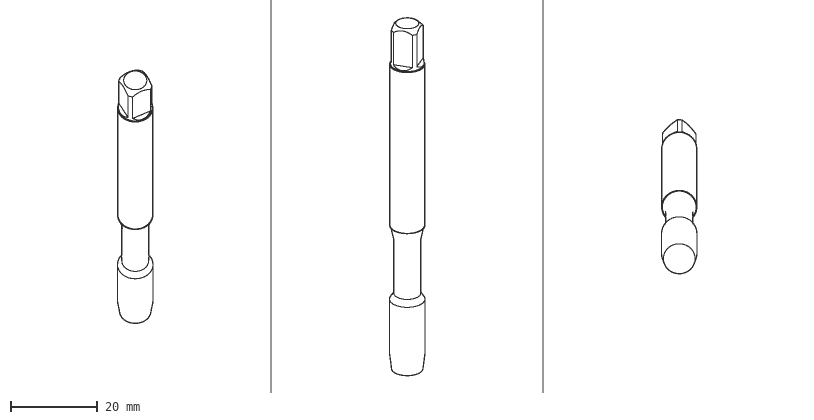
import cadquery as cq

total_length = 90.1
thread_diameter = 8.2
lead_tip_diameter = 7.3
neck_diameter = 6.2
shank_diameter = 8.1
neck_taper_diameter = 7.75

lead_length = 3.9
thread_top = 18.1
neck_bottom = 19.6
neck_top = 33.6
shank_bottom = 37.3
shoulder_height = 79.4

square_width = 6.2
square_corner_diameter = 7.75
square_top_diameter = 5.3
flat_bottom = 80.5

shoulder_chamfer = (shank_diameter - square_corner_diameter) / 2
top_chamfer = (square_corner_diameter - square_top_diameter) / 2
flat_depth = (shank_diameter - square_width) / 2


def revolve_profile(points):
    """Revolve (radius, height) points around the Z axis."""
    return cq.Workplane("XZ").polyline(points).close().revolve(360, (0, 0, 0), (0, 1, 0))


def make_threaded_head():
    """Plain thread envelope with a tapered lead at the tip."""
    return revolve_profile([
        (0, 0),
        (lead_tip_diameter / 2, 0),
        (thread_diameter / 2, lead_length),
        (thread_diameter / 2, thread_top),
        (0, thread_top),
    ])


def make_flat_cutter():
    """Cutter for the +X flat, with a 45 degree run-out at its lower end."""
    flat_x = square_width / 2
    outer_x = flat_x + 2 * flat_depth
    cutter_profile = [
        (flat_x, flat_bottom),
        (outer_x, flat_bottom - 2 * flat_depth),
        (outer_x, total_length),
        (flat_x, total_length),
    ]
    return cq.Workplane("XZ").polyline(cutter_profile).close().extrude(shank_diameter / 2, both=True)


def make_shank():
    """Neck, shank and driving square, seated on top of the threaded head."""
    shank = revolve_profile([
        (0, thread_top),
        (thread_diameter / 2, thread_top),
        (neck_diameter / 2, neck_bottom),
        (neck_diameter / 2, neck_top),
        (neck_taper_diameter / 2, shank_bottom),
        (shank_diameter / 2, shank_bottom),
        (shank_diameter / 2, shoulder_height),
        (square_corner_diameter / 2, shoulder_height + shoulder_chamfer),
        (square_corner_diameter / 2, total_length - top_chamfer),
        (square_top_diameter / 2, total_length),
        (0, total_length),
    ])
    flat_cutter = make_flat_cutter()
    for angle in (0, 90, 180, 270):
        shank = shank.cut(flat_cutter.rotate((0, 0, 0), (0, 0, 1), angle))
    return shank


threaded_head = make_threaded_head()
shank = make_shank()

result = cq.Compound.makeCompound([threaded_head.val(), shank.val()])